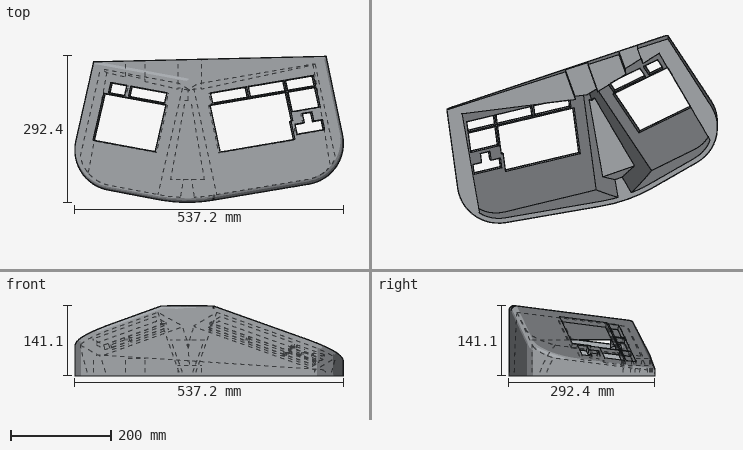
import cadquery as cq
import math

LEFT, RIGHT = -1, 1
SIDES = (LEFT, RIGHT)
CUT_SIZE = 2000.0

APEX_HEIGHT = 110.9
ROOF_PITCH = 7.3
WING_ROLL = 18.0
RIDGE_BEARING = {LEFT: 13.0, RIGHT: 12.2}
WALL_BEARING = {LEFT: 12.7, RIGHT: 11.8}
FRONT_ANGLE = {LEFT: 10.8, RIGHT: 9.5}
REAR_CORNER = {LEFT: (-189.1, 35.0), RIGHT: (275.9, 46.0)}
NOSE_END_X = {LEFT: -56.2, RIGHT: 52.3}
NOSE_END_Y = -241.6
NOSE_TIP_Y = -246.4
CORNER_RADIUS = {LEFT: 82.0, RIGHT: 83.0}
EDGE_RADIUS = 10.0

WALL = 10.0
ROOM_REAR_GAP = {LEFT: 10.0, RIGHT: 11.0}
ROOM_RIDGE_GAP = 11.0
ROOM_OUTER = {LEFT: 190.0, RIGHT: 273.5}
ROOM_CORNER_RADIUS = 12.0
PASSAGE_X = (-60.0, 60.0)
PASSAGE_Y = (-200.0, -43.0)
PASSAGE_TOP = 72.6

REAR_OPENINGS = (
    ((-125.0, -86.0), 35.0),
    ((-20.7, 26.5), 21.0),
)
REAR_OPENING_Y = (-40.0, 60.0)

WINDOW_DEPTH = 1.5 * WALL
SCREEN_INNER = 34.0
SCREEN_Y = (-155.5, -58.5)
BAR_WIDTH = 3.0
ROW_HEIGHT = 21.0
ROW_Y = (SCREEN_Y[1] + BAR_WIDTH, SCREEN_Y[1] + BAR_WIDTH + ROW_HEIGHT)

LEFT_SCREEN_X = (SCREEN_INNER, 168.0)
LEFT_ROW_X = ((37.7, 115.5), (124.0, 158.5))

RIGHT_SCREEN_X = (SCREEN_INNER, 198.5)
SCREEN_STEP = 4.0
SCREEN_STEP_Y = -117.5
SQUARE_X = (RIGHT_SCREEN_X[1] + BAR_WIDTH, 261.5)
SQUARE_Y = (-99.5, SCREEN_Y[1])
RIGHT_ROW_X = ((40.3, 117.7), (121.5, 198.5), SQUARE_X)
TEE_BAR_X = (201.5, 260.5)
TEE_BAR_Y = (-146.0, -125.5)
TEE_STEM_X = (221.5, 242.0)
TEE_STEM_Y = (TEE_BAR_Y[0], -106.5)

WINDOWS = {
    LEFT: [(LEFT_SCREEN_X, SCREEN_Y)] + [(x_range, ROW_Y) for x_range in LEFT_ROW_X],
    RIGHT: [
        (RIGHT_SCREEN_X, (SCREEN_STEP_Y, SCREEN_Y[1])),
        ((SCREEN_INNER, RIGHT_SCREEN_X[1] - SCREEN_STEP), SCREEN_Y),
        (SQUARE_X, SQUARE_Y),
        (TEE_BAR_X, TEE_BAR_Y),
        (TEE_STEM_X, TEE_STEM_Y),
    ] + [(x_range, ROW_Y) for x_range in RIGHT_ROW_X],
}

APEX = (0, 0, APEX_HEIGHT)


def roof_plane():
    pitch = math.radians(ROOF_PITCH)
    return cq.Plane(origin=APEX, xDir=(1, 0, 0), normal=(0, math.sin(pitch), math.cos(pitch)))


def wing_plane(side):
    """Plane of a wing face: origin at the apex, local y rearwards along the ridge."""
    bearing = math.radians(RIDGE_BEARING[side])
    roll = math.radians(WING_ROLL)
    fall = math.cos(bearing) * math.tan(math.radians(ROOF_PITCH))
    ridge = cq.Vector(-side * math.sin(bearing), math.cos(bearing), -fall).normalized()
    roof_normal = roof_plane().zDir
    across = ridge.cross(roof_normal)
    normal = roof_normal * math.cos(roll) + across * (side * math.sin(roll))
    return cq.Plane(origin=APEX, xDir=ridge.cross(normal).toTuple(), normal=normal.toTuple())


def apex_to_rear_corner(side):
    """Vector from the apex to the top of a rear corner, lying in the wing face."""
    x, y = REAR_CORNER[side]
    normal = wing_plane(side).zDir
    return cq.Vector(x, y, -(normal.x * x + normal.y * y) / normal.z)


def rear_plane():
    """Sloping rear face through the apex and the tops of both rear corners."""
    left = apex_to_rear_corner(LEFT)
    right = apex_to_rear_corner(RIGHT)
    return cq.Plane(origin=APEX, xDir=right.toTuple(), normal=right.cross(left).toTuple())


def front_corner(side):
    """Sharp corner where the side wall meets the front wall, before it is rounded."""
    rear_x, rear_y = REAR_CORNER[side]
    wall_slope = side * math.tan(math.radians(WALL_BEARING[side]))
    front_slope = side * math.tan(math.radians(FRONT_ANGLE[side]))
    run = rear_x + wall_slope * rear_y - NOSE_END_X[side]
    y = (NOSE_END_Y + front_slope * run) / (1 + front_slope * wall_slope)
    return rear_x + wall_slope * (rear_y - y), y


def footprint_prism():
    """Tall upright prism on the plan outline, with both front corners rounded."""
    nose_tip = (sum(NOSE_END_X.values()) / 2, NOSE_TIP_Y)
    prism = (
        cq.Workplane("XY")
        .moveTo(*REAR_CORNER[LEFT])
        .lineTo(*front_corner(LEFT))
        .lineTo(NOSE_END_X[LEFT], NOSE_END_Y)
        .threePointArc(nose_tip, (NOSE_END_X[RIGHT], NOSE_END_Y))
        .lineTo(*front_corner(RIGHT))
        .lineTo(*REAR_CORNER[RIGHT])
        .close()
        .extrude(CUT_SIZE)
    )
    for side in SIDES:
        corner = (*front_corner(side), CUT_SIZE / 2)
        prism = prism.edges(cq.selectors.NearestToPointSelector(corner)).fillet(CORNER_RADIUS[side])
    return prism


def keep_below(body, plane, depth=0.0):
    """Part of the body lying more than depth below a plane."""
    lower_half = cq.Workplane(plane).workplane(offset=-depth).rect(CUT_SIZE, CUT_SIZE).extrude(-CUT_SIZE)
    return body.intersect(lower_half)


def outer_body():
    body = footprint_prism()
    for plane in (roof_plane(), wing_plane(LEFT), wing_plane(RIGHT), rear_plane()):
        body = keep_below(body, plane)
    upper_edges = body.edges("not(#Z or |Z)").edges(cq.selectors.BoxSelector(
        (-CUT_SIZE, -CUT_SIZE, EDGE_RADIUS), (CUT_SIZE, REAR_CORNER[LEFT][1], CUT_SIZE)))
    return upper_edges.fillet(EDGE_RADIUS)


def upright_box(x_range, y_range, height):
    """Box standing on the base plane."""
    size = (x_range[1] - x_range[0], y_range[1] - y_range[0], height)
    return cq.Workplane("XY").box(*size, centered=False).translate((x_range[0], y_range[0], 0))


def wing_box(side, x_range, y_range, depth):
    """Box square to a wing face, from above the face down to the given depth."""
    return (
        cq.Workplane(wing_plane(side))
        .workplane(offset=WALL)
        .center(side * sum(x_range) / 2, sum(y_range) / 2)
        .rect(x_range[1] - x_range[0], y_range[1] - y_range[0])
        .extrude(-WALL - depth)
    )


def wing_room(side):
    """Room below a wing, rounded where its rear side meets its ridge side."""
    x_range = (ROOM_RIDGE_GAP, ROOM_OUTER[side])
    y_range = (-CUT_SIZE, -ROOM_REAR_GAP[side])
    corner = wing_plane(side).toWorldCoords((side * ROOM_RIDGE_GAP, -ROOM_REAR_GAP[side], -CUT_SIZE / 2))
    room = wing_box(side, x_range, y_range, CUT_SIZE)
    return room.edges(cq.selectors.NearestToPointSelector(corner.toTuple())).fillet(ROOM_CORNER_RADIUS)


def cavity():
    outline = footprint_prism().faces("<Z").wires().val()
    inner_wires = outline.offset2D(-WALL)
    inner = cq.Workplane("XY").newObject(inner_wires).toPending().extrude(CUT_SIZE)
    for plane in (roof_plane(), wing_plane(LEFT), wing_plane(RIGHT)):
        inner = keep_below(inner, plane, WALL)
    passage = upright_box(PASSAGE_X, PASSAGE_Y, PASSAGE_TOP)
    return inner.intersect(wing_room(LEFT).union(wing_room(RIGHT)).union(passage))


def cut_windows(body):
    for side in SIDES:
        for x_range, y_range in WINDOWS[side]:
            body = body.cut(wing_box(side, x_range, y_range, WINDOW_DEPTH))
    return body


def cut_rear_openings(body):
    for x_range, height in REAR_OPENINGS:
        body = body.cut(upright_box(x_range, REAR_OPENING_Y, height))
    return body


result = cut_rear_openings(cut_windows(outer_body().cut(cavity()))).solids()